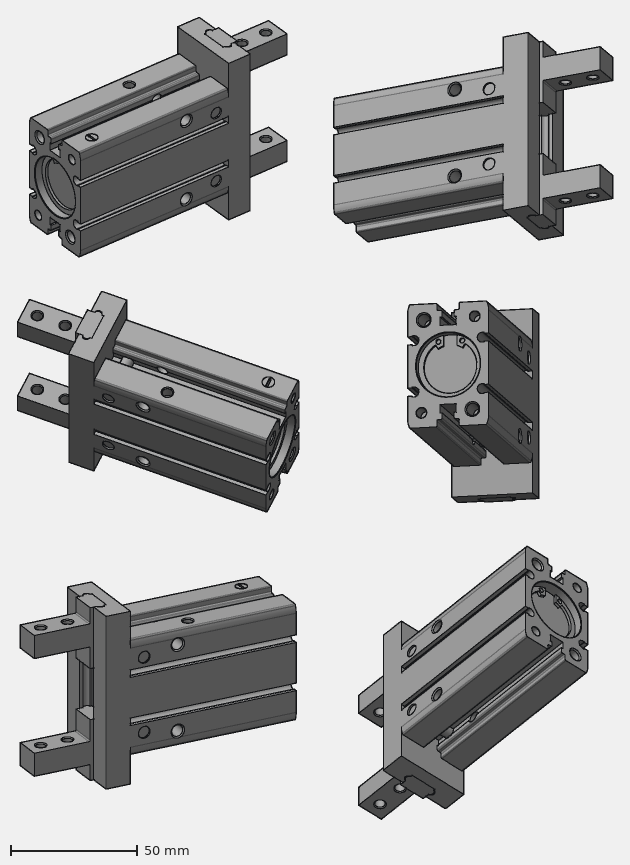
import cadquery as cq
import math


width = 33.0
head_height = 74.6
housing_length = 85.1
profile_length = 74.2
profile_height = 50.0
head_edge_radius = 0.3

corner_radius = 0.6
shoulder_inset = 0.6
shoulder_arc_radius = 8.0
shoulder_end_z = 21.4

mouth_half_width = 4.55
mouth_floor_z = 22.1
neck_half_width = 2.45
neck_floor_z = 19.4
foot_half_width = 3.25
foot_floor_z = 16.0
mouth_edge_radius = 0.4
mouth_corner_radius = 0.6
neck_edge_radius = 0.6

groove_z = 10.4
groove_diameter = 3.95
groove_mouth = 3.25
groove_lip_x = 14.6
groove_axis_x = 13.85

pin_diameter = 5.1
pin_y = 68.0
pin_z = 16.2
pin_recess = 0.8

m6_bore = 4.92
m6_countersink = 6.0
m5_bore = 4.13
m5_countersink = 5.0
side_hole_y = 53.0
side_hole_z = 18.7
large_rear_x = 9.9
large_rear_z = 18.5
large_rear_depth = 12.0
small_rear_rim = 4.4
small_rear_x = 10.85
small_rear_z = 19.0
small_rear_depth = 8.0
port_x = 10.2
port_y = 45.2
port_depth = 5.0

bore_diameter = 26.0
bore_depth = 4.8
bore_chamfer = 0.25

ring_thickness = 1.2
ring_inner_radius = 10.8
ring_gap_half_width = 2.8
ear_inner_radius = 8.9
ear_angle = 34.0
ear_hole_diameter = 2.0
ear_hole_x = 4.85
ear_hole_z = 10.25

screw_diameter = 5.0
screw_y = 10.5
screw_recess = 0.2
screw_slot_length = 3.8
screw_slot_width = 0.8
screw_slot_depth = 0.8

finger_width = 12.0
finger_reach = 26.55
finger_shoulder = 1.55
finger_inner_z = 11.0
arm_inner_z = 20.4
arm_thickness = 10.0
arm_fillet = 0.5
arm_hole_offsets = (6.0, 18.0)
guide_depth = 5.5
guide_lobe_depth = 3.15
guide_lobe_half_height = 1.55
guide_lobe_reach = 7.5
finger_lobe_reach = 7.05

half_width = width / 2
half_profile = profile_height / 2
half_head = head_height / 2
guide_lobe_y = housing_length - guide_lobe_depth


def rear_plane(y):
    """Sketch plane across the housing at y, with sketch axes X and Z."""
    return cq.Workplane("XZ", origin=(0, y, 0))


def cylinder(diameter, length, start, direction):
    """Cylinder that starts at a point and runs along a direction."""
    return cq.Workplane(cq.Solid.makeCylinder(diameter / 2, length, cq.Vector(*start), cq.Vector(*direction)))


def countersunk_hole(bore, countersink, depth, start, direction):
    """Cutter for a hole that widens to the countersink diameter at its mouth."""
    sink_depth = (countersink - bore) / 2
    cone = cq.Solid.makeCone(
        countersink / 2, bore / 2, sink_depth, cq.Vector(*start), cq.Vector(*direction)
    )
    return cylinder(bore, depth, start, direction).union(cq.Workplane(cone))


def profile_block():
    """Extruded profile: a quarter section mirrored about both centre planes."""
    shoulder_x = half_width - shoulder_inset
    quarter = (
        rear_plane(0)
        .lineTo(half_width, 0)
        .lineTo(half_width, shoulder_end_z)
        .radiusArc((shoulder_x, half_profile - corner_radius), -shoulder_arc_radius)
        .radiusArc((shoulder_x - corner_radius, half_profile), -corner_radius)
        .lineTo(0, half_profile)
        .close()
        .extrude(-profile_length)
    )
    upper = quarter.union(quarter.mirror("YZ"))
    return upper.union(upper.mirror("XY")).clean()


def head_block():
    """Wide head across the front end, with its two front side edges rounded."""
    length = housing_length - profile_length
    return (
        cq.Workplane("XY")
        .box(width, length, head_height)
        .translate((0, profile_length + length / 2, 0))
        .edges(">Y and |Z")
        .fillet(head_edge_radius)
    )


def t_slot():
    """Cutter for the stepped T-slot along the top of the profile."""
    mouth, neck = mouth_half_width, neck_half_width
    return (
        rear_plane(0)
        .moveTo(0, half_profile)
        .lineTo(mouth + mouth_edge_radius, half_profile)
        .radiusArc((mouth, half_profile - mouth_edge_radius), -mouth_edge_radius)
        .lineTo(mouth, mouth_floor_z + mouth_corner_radius)
        .radiusArc((mouth - mouth_corner_radius, mouth_floor_z), mouth_corner_radius)
        .lineTo(neck + neck_edge_radius, mouth_floor_z)
        .radiusArc((neck, mouth_floor_z - neck_edge_radius), -neck_edge_radius)
        .lineTo(neck, neck_floor_z)
        .lineTo(foot_half_width, neck_floor_z)
        .lineTo(foot_half_width, foot_floor_z)
        .lineTo(0, foot_floor_z)
        .mirrorY()
        .extrude(-profile_length)
    )


def sensor_groove():
    """Cutter for the upper +X sensor groove: a round-bottomed channel behind a narrower mouth."""
    radius = groove_diameter / 2
    half_mouth = groove_mouth / 2
    return (
        rear_plane(0)
        .center(0, groove_z)
        .moveTo(half_width, half_mouth)
        .lineTo(groove_lip_x, half_mouth)
        .lineTo(groove_lip_x, radius)
        .lineTo(groove_axis_x, radius)
        .threePointArc((groove_axis_x - radius, 0), (groove_axis_x, -radius))
        .lineTo(groove_lip_x, -radius)
        .lineTo(groove_lip_x, -half_mouth)
        .lineTo(half_width, -half_mouth)
        .close()
        .extrude(-profile_length)
    )


def guide_section(y_front, lobe_reach):
    """Guide section seen along Z: a rectangle with a rounded lobe on each side."""
    x = finger_width / 2
    floor_y = housing_length - guide_depth
    lobe_low = guide_lobe_y - guide_lobe_half_height
    lobe_high = guide_lobe_y + guide_lobe_half_height
    return (
        cq.Workplane("XY")
        .moveTo(-x, floor_y)
        .lineTo(x, floor_y)
        .lineTo(x, lobe_low)
        .threePointArc((lobe_reach, guide_lobe_y), (x, lobe_high))
        .lineTo(x, y_front)
        .lineTo(-x, y_front)
        .lineTo(-x, lobe_high)
        .threePointArc((-lobe_reach, guide_lobe_y), (-x, lobe_low))
        .close()
    )


def make_housing():
    """Profile and head in one piece, with all slots, holes and the guide way cut out."""
    body = profile_block()
    groove_pair = sensor_groove().union(sensor_groove().mirror("YZ"))
    for upper_cutter in (t_slot(), groove_pair):
        body = body.cut(upper_cutter).cut(upper_cutter.mirror("XY"))

    body = body.union(head_block())
    guide_way = guide_section(housing_length, guide_lobe_reach).extrude(head_height)
    body = body.cut(guide_way.translate((0, 0, -half_head)))

    pin_length = width - 2 * pin_recess
    for level in (-1, 1):
        pin_axis_z = level * pin_z
        body = body.cut(cylinder(pin_diameter, width, (-half_width, pin_y, pin_axis_z), (1, 0, 0)))
        body = body.union(cylinder(pin_diameter, pin_length, (-pin_length / 2, pin_y, pin_axis_z), (1, 0, 0)))
        for side in (-1, 1):
            start = (side * half_width, side_hole_y, level * side_hole_z)
            body = body.cut(countersunk_hole(m6_bore, m6_countersink, half_width, start, (-side, 0, 0)))

    for side in (-1, 1):
        start = (side * large_rear_x, 0, -side * large_rear_z)
        body = body.cut(countersunk_hole(m6_bore, m6_countersink, large_rear_depth, start, (0, 1, 0)))
        start = (side * small_rear_x, 0, side * small_rear_z)
        body = body.cut(countersunk_hole(m5_bore, small_rear_rim, small_rear_depth, start, (0, 1, 0)))

    rim_diameter = bore_diameter + 2 * bore_chamfer
    body = body.cut(countersunk_hole(bore_diameter, rim_diameter, bore_depth, (0, 0, 0), (0, 1, 0)))

    port_start = (-port_x, port_y, half_profile)
    body = body.cut(countersunk_hole(m5_bore, m5_countersink, port_depth, port_start, (0, 0, -1)))

    screw_face_z = half_profile - screw_recess
    body = body.cut(cylinder(screw_diameter, screw_recess, (port_x, screw_y, screw_face_z), (0, 0, 1)))
    slot = cq.Workplane("XY", origin=(port_x, screw_y, screw_face_z))
    body = body.cut(slot.rect(screw_slot_length, screw_slot_width).extrude(-screw_slot_depth))
    return body


def ear_wedge(side, start_y):
    """Block between the ring gap and the slanted outer side of one ear."""
    low_z, high_z = ear_inner_radius / 2, bore_diameter / 2
    slope = math.tan(math.radians(ear_angle))
    return (
        rear_plane(start_y)
        .polyline([
            (side * ring_gap_half_width, low_z),
            (side * ring_gap_half_width, high_z),
            (side * high_z * slope, high_z),
            (side * low_z * slope, low_z),
        ])
        .close()
        .extrude(-ring_thickness)
    )


def make_ring():
    """Retaining ring on the bore floor: a split ring with a drilled ear on each side of the gap."""
    outer = bore_diameter / 2
    start_y = bore_depth - ring_thickness
    ring = rear_plane(start_y).circle(outer).circle(ring_inner_radius).extrude(-ring_thickness)
    gap = rear_plane(start_y).center(0, outer / 2).rect(2 * ring_gap_half_width, outer)
    ring = ring.cut(gap.extrude(-ring_thickness))
    ear_band = rear_plane(start_y).circle(outer).circle(ear_inner_radius).extrude(-ring_thickness)
    for side in (-1, 1):
        ring = ring.union(ear_band.intersect(ear_wedge(side, start_y)))
        hole_start = (side * ear_hole_x, start_y, ear_hole_z)
        ring = ring.cut(cylinder(ear_hole_diameter, ring_thickness, hole_start, (0, 1, 0)))
    return ring


def make_finger(level):
    """Finger above (level 1) or below (level -1) the axis: a guided slide with a forward arm."""
    shoulder_y = housing_length + finger_shoulder
    tip_y = housing_length + finger_reach
    arm_outer_z = arm_inner_z + arm_thickness
    slide = guide_section(shoulder_y, finger_lobe_reach).extrude(half_head - finger_inner_z)
    finger = slide.translate((0, 0, finger_inner_z))

    arm_centre = (0, (shoulder_y + tip_y) / 2, (arm_inner_z + arm_outer_z) / 2)
    arm = cq.Workplane("XY").box(finger_width, tip_y - shoulder_y, arm_thickness)
    finger = finger.union(arm.translate(arm_centre))

    arm_root = cq.selectors.BoxSelector(
        (-half_width, shoulder_y - arm_fillet, arm_inner_z - arm_fillet),
        (half_width, shoulder_y + arm_fillet, arm_outer_z + arm_fillet),
    )
    finger = finger.edges("|X").edges(arm_root).fillet(arm_fillet)

    for offset in arm_hole_offsets:
        for face_z, direction in ((arm_inner_z, 1), (arm_outer_z, -1)):
            start = (0, tip_y - offset, face_z)
            hole = countersunk_hole(m5_bore, m5_countersink, arm_thickness, start, (0, 0, direction))
            finger = finger.cut(hole)
    return finger if level > 0 else finger.mirror("XY")


housing = make_housing()
ring = make_ring()
fingers = [make_finger(level) for level in (-1, 1)]
result = cq.Compound.makeCompound([housing.val(), ring.val(), *[finger.val() for finger in fingers]])